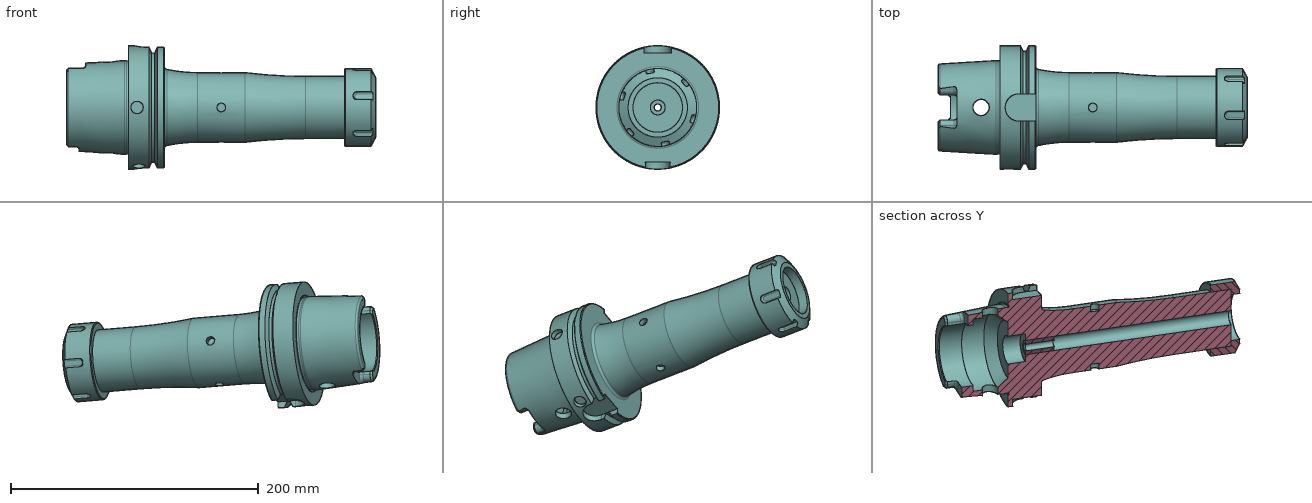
import cadquery as cq
import math


TOTAL_LENGTH = 250.0
FLANGE_START = 50.0
FLANGE_END = 79.0
NECK_FILLET_END = 81.0
SHANK_START = 105.7
SHANK_END = 144.2
NOSE_START = 193.0
NOSE_END = 242.5
NUT_START = 224.5
NUT_NOSE_START = 246.0

TAPER_RADIUS = 35.2
TAPER_END_RADIUS = 38.0
TAPER_END = 47.0
TAPER_EDGE = 1.7
RELIEF_RADIUS = 37.7
RELIEF_START = 48.5
FACE_GROOVE_RADIUS = 39.2
FACE_GROOVE_DEPTH = 0.7
MOUTH_RADIUS = 26.5
MOUTH_CHAMFER = 0.7
MOUTH_END = 20.0
CHAMBER_RADIUS = 31.5
CHAMBER_END = 41.0
CAVITY_FLOOR_RADIUS = 24.2
CAVITY_END = 50.0

FLANGE_RADIUS = 50.0
FLANGE_CHAMFER = 0.7
V_CENTRE = 70.0
V_FLOOR_RADIUS = 45.5
V_FLOOR_WIDTH = 2.5
V_TOP_WIDTH = 6.7

NECK_FILLET_RADIUS = 33.0
NECK_RADIUS = 30.86
SHANK_RADIUS = 28.2
NOSE_RADIUS = 25.2

TUBE_SEAT_RADIUS = 12.0
TUBE_SEAT_DEPTH = 15.0
BORE_RADIUS = 6.0

DRIVE_SLOT_HALF_WIDTH = 10.0
DRIVE_SLOT_CREST = 31.7
DRIVE_SLOT_FLARE = 4.7
DRIVE_SLOT_FLOOR_FILLET = 2.5
TOP_SLOT_DEPTH = 15.5
BOTTOM_SLOT_DEPTH = 10.0

TOP_KEY_WIDTH = 22.0
BOTTOM_KEY_WIDTH = 20.0
KEY_SLOT_START = 54.2
KEY_SLOT_FLOOR = 44.0

CROSS_HOLE_X = 34.7
CROSS_HOLE_RADIUS = 6.5
CHIP_HOLE_X = 57.0
MARK_HOLE_X = 58.7
MARK_HOLE_ANGLE = 72.0
FLANGE_HOLE_RADIUS = 5.0
FLANGE_HOLE_DEPTH = 4.5
SHANK_HOLE_X = 125.0
SHANK_HOLE_RADIUS = 3.5
SHANK_HOLE_DEPTH = 5.0
SHANK_HOLE_COUNT = 4

NUT_RADIUS = 31.5
NUT_FACE_RADIUS = 24.0
NUT_CHAMFER = 0.7
NUT_OPENING_RADIUS = 20.0
NUT_SLOT_COUNT = 6
NUT_SLOT_ANGLE = 18.0
NUT_SLOT_START = 231.5
NUT_SLOT_WIDTH = 6.7
NUT_SLOT_FLOOR = 28.2
NUT_SLOT_FILLET = 1.2

SCREW_LENGTH = 25.0
SCREW_HOLE_RADIUS = 2.7
SCREW_HOLE_CHAMFER = 1.0

CUT_MARGIN = 12.5


def spun(profile):
    """Revolve a closed (x, radius) outline about the X axis."""
    return profile.close().revolve(360, (0, 0, 0), (1, 0, 0))


def cylinder_x(start, end, radius):
    return cq.Workplane("YZ").workplane(offset=start).circle(radius).extrude(end - start)


def about_x(shape, angle):
    return shape.rotate((0, 0, 0), (1, 0, 0), angle)


def front_radial_hole(x, radius, surface_radius, depth):
    """Cutter for a flat-bottomed hole bored inward from the -Y side."""
    bored = cq.Workplane("XZ", origin=(x, depth - surface_radius, 0))
    return bored.circle(radius).extrude(depth + CUT_MARGIN)


def holder_blank():
    v_left = V_CENTRE - V_TOP_WIDTH / 2
    v_right = V_CENTRE + V_TOP_WIDTH / 2
    v_floor_left = V_CENTRE - V_FLOOR_WIDTH / 2
    v_floor_right = V_CENTRE + V_FLOOR_WIDTH / 2
    blend_rise = SHANK_RADIUS - NOSE_RADIUS
    blend_length = NOSE_START - SHANK_END
    blend_arc_radius = (blend_length**2 + blend_rise**2) / (2 * blend_rise)
    blend_middle_x = (SHANK_END + NOSE_START) / 2
    blend_sag = blend_arc_radius - math.sqrt(blend_arc_radius**2 - (blend_length / 2) ** 2)
    edge_inset = TAPER_EDGE * (1 - math.sqrt(0.5))
    profile = (
        cq.Workplane("XY")
        .moveTo(NOSE_END, 0)
        .lineTo(NOSE_END, NOSE_RADIUS)
        .lineTo(NOSE_START, NOSE_RADIUS)
        .threePointArc((blend_middle_x, NOSE_RADIUS + blend_sag), (SHANK_END, SHANK_RADIUS))
        .lineTo(SHANK_START, SHANK_RADIUS)
        .tangentArcPoint((NECK_FILLET_END, NECK_RADIUS), relative=False)
        .tangentArcPoint((FLANGE_END, NECK_FILLET_RADIUS), relative=False)
        .lineTo(FLANGE_END, FLANGE_RADIUS - FLANGE_CHAMFER)
        .lineTo(FLANGE_END - FLANGE_CHAMFER, FLANGE_RADIUS)
        .lineTo(v_right, FLANGE_RADIUS)
        .lineTo(v_floor_right, V_FLOOR_RADIUS)
        .lineTo(v_floor_left, V_FLOOR_RADIUS)
        .lineTo(v_left, FLANGE_RADIUS)
        .lineTo(FLANGE_START, FLANGE_RADIUS)
        .lineTo(FLANGE_START, FACE_GROOVE_RADIUS)
        .lineTo(FLANGE_START + FACE_GROOVE_DEPTH, FACE_GROOVE_RADIUS)
        .lineTo(FLANGE_START + FACE_GROOVE_DEPTH, RELIEF_RADIUS)
        .lineTo(RELIEF_START, RELIEF_RADIUS)
        .lineTo(TAPER_END, TAPER_END_RADIUS)
        .lineTo(TAPER_EDGE, TAPER_RADIUS)
        .threePointArc((edge_inset, TAPER_RADIUS - edge_inset), (0, TAPER_RADIUS - TAPER_EDGE))
        .lineTo(0, 0)
    )
    return spun(profile)


def holder_cavity():
    """Chamfered mouth, clamping chamber, coolant tube seat and central bore."""
    seat_end = CAVITY_END + TUBE_SEAT_DEPTH
    profile = (
        cq.Workplane("XY")
        .moveTo(0, 0)
        .lineTo(0, MOUTH_RADIUS + MOUTH_CHAMFER)
        .lineTo(MOUTH_CHAMFER, MOUTH_RADIUS)
        .lineTo(MOUTH_END, MOUTH_RADIUS)
        .lineTo(MOUTH_END, CHAMBER_RADIUS)
        .lineTo(CHAMBER_END, CHAMBER_RADIUS)
        .lineTo(CAVITY_END, CAVITY_FLOOR_RADIUS)
        .lineTo(CAVITY_END, TUBE_SEAT_RADIUS)
        .lineTo(seat_end, TUBE_SEAT_RADIUS)
        .lineTo(seat_end, BORE_RADIUS)
        .lineTo(NOSE_END, BORE_RADIUS)
        .lineTo(NOSE_END, 0)
    )
    return spun(profile)


def drive_slot_outline(growth=0.0):
    """Section of a slot at the top of the taper, flaring outward above its straight walls."""
    half_width = DRIVE_SLOT_HALF_WIDTH + growth
    crest = DRIVE_SLOT_CREST - growth
    flare = DRIVE_SLOT_FLARE - growth
    flare_start = crest - flare
    crest_half_width = half_width + flare
    flare_inset = flare * (1 - math.sqrt(0.5))
    flare_middle_y = half_width + flare_inset
    flare_middle_z = crest - flare_inset
    outer_half_width = DRIVE_SLOT_HALF_WIDTH + DRIVE_SLOT_FLARE + CUT_MARGIN + growth
    outer_z = DRIVE_SLOT_CREST + CUT_MARGIN + growth
    return (
        cq.Workplane("YZ")
        .moveTo(-half_width, -growth)
        .lineTo(half_width, -growth)
        .lineTo(half_width, flare_start)
        .threePointArc((flare_middle_y, flare_middle_z), (crest_half_width, crest))
        .lineTo(outer_half_width, crest)
        .lineTo(outer_half_width, outer_z)
        .lineTo(-outer_half_width, outer_z)
        .lineTo(-outer_half_width, crest)
        .lineTo(-crest_half_width, crest)
        .threePointArc((-flare_middle_y, flare_middle_z), (-half_width, flare_start))
        .close()
    )


def drive_slot(depth):
    """Cutter for a drive slot with a filleted floor and a chamfered lead-in."""
    slot = drive_slot_outline().extrude(depth)
    slot = slot.faces(">X").edges().fillet(DRIVE_SLOT_FLOOR_FILLET)
    lead_in = drive_slot_outline(TAPER_EDGE).extrude(TAPER_EDGE, taper=45)
    return slot.union(lead_in)


def key_slot(width):
    """Cutter for a round-ended slot at the top of the flange, open toward the shank."""
    end_radius = width / 2
    round_centre = KEY_SLOT_START + end_radius
    length = FLANGE_END - round_centre
    height = FLANGE_RADIUS - KEY_SLOT_FLOOR + CUT_MARGIN
    floor = cq.Workplane("XY").workplane(offset=KEY_SLOT_FLOOR)
    straight = floor.center(round_centre + length / 2, 0).rect(length, width).extrude(height)
    return straight.union(floor.center(round_centre, 0).circle(end_radius).extrude(height))


def make_holder():
    holder = holder_blank().cut(drive_slot(TOP_SLOT_DEPTH))
    holder = holder.cut(about_x(drive_slot(BOTTOM_SLOT_DEPTH), 180))
    holder = holder.cut(holder_cavity())
    holder = holder.cut(key_slot(TOP_KEY_WIDTH))
    holder = holder.cut(about_x(key_slot(BOTTOM_KEY_WIDTH), 180))

    cross_hole = cq.Workplane("XY").center(CROSS_HOLE_X, 0).circle(CROSS_HOLE_RADIUS)
    holder = holder.cut(cross_hole.extrude(FLANGE_RADIUS, both=True))

    chip_hole = front_radial_hole(CHIP_HOLE_X, FLANGE_HOLE_RADIUS, FLANGE_RADIUS, FLANGE_HOLE_DEPTH)
    mark_hole = front_radial_hole(MARK_HOLE_X, FLANGE_HOLE_RADIUS, FLANGE_RADIUS, FLANGE_HOLE_DEPTH)
    holder = holder.cut(chip_hole).cut(about_x(mark_hole, MARK_HOLE_ANGLE))

    shank_hole = front_radial_hole(SHANK_HOLE_X, SHANK_HOLE_RADIUS, SHANK_RADIUS, SHANK_HOLE_DEPTH)
    for index in range(SHANK_HOLE_COUNT):
        holder = holder.cut(about_x(shank_hole, index * 360 / SHANK_HOLE_COUNT))
    return holder


def nut_slot():
    """Cutter for a spanner slot on the -Y side, round at the back and open at the front."""
    end_radius = NUT_SLOT_WIDTH / 2
    round_centre = NUT_SLOT_START + end_radius
    length = TOTAL_LENGTH + CUT_MARGIN - round_centre
    height = NUT_RADIUS - NUT_SLOT_FLOOR + CUT_MARGIN
    floor = cq.Workplane("XZ", origin=(round_centre, -NUT_SLOT_FLOOR, 0))
    straight = floor.center(length / 2, 0).rect(length, NUT_SLOT_WIDTH).extrude(height)
    slot = straight.union(floor.circle(end_radius).extrude(height))
    return slot.faces(">Y").edges().fillet(NUT_SLOT_FILLET)


def make_nut():
    profile = (
        cq.Workplane("XY")
        .moveTo(NUT_START, NOSE_RADIUS)
        .lineTo(NUT_START, NUT_RADIUS - NUT_CHAMFER)
        .lineTo(NUT_START + NUT_CHAMFER, NUT_RADIUS)
        .lineTo(NUT_NOSE_START, NUT_RADIUS)
        .lineTo(TOTAL_LENGTH, NUT_FACE_RADIUS)
        .lineTo(TOTAL_LENGTH, NUT_OPENING_RADIUS)
        .lineTo(NOSE_END, NUT_OPENING_RADIUS)
        .lineTo(NOSE_END, NOSE_RADIUS)
    )
    nut = spun(profile)
    for index in range(NUT_SLOT_COUNT):
        nut = nut.cut(about_x(nut_slot(), index * 360 / NUT_SLOT_COUNT - NUT_SLOT_ANGLE))
    return nut


def make_screw():
    """Hollow screw filling the start of the central bore."""
    start = CAVITY_END + TUBE_SEAT_DEPTH
    screw = cylinder_x(start, start + SCREW_LENGTH, BORE_RADIUS)
    screw = screw.cut(cylinder_x(start, start + SCREW_LENGTH, SCREW_HOLE_RADIUS))
    inner_rim = cq.selectors.RadiusNthSelector(0)
    return screw.faces("<X").edges(inner_rim).chamfer(SCREW_HOLE_CHAMFER)


holder = make_holder()
nut = make_nut()
screw = make_screw()

result = cq.Compound.makeCompound([holder.val(), nut.val(), screw.val()])